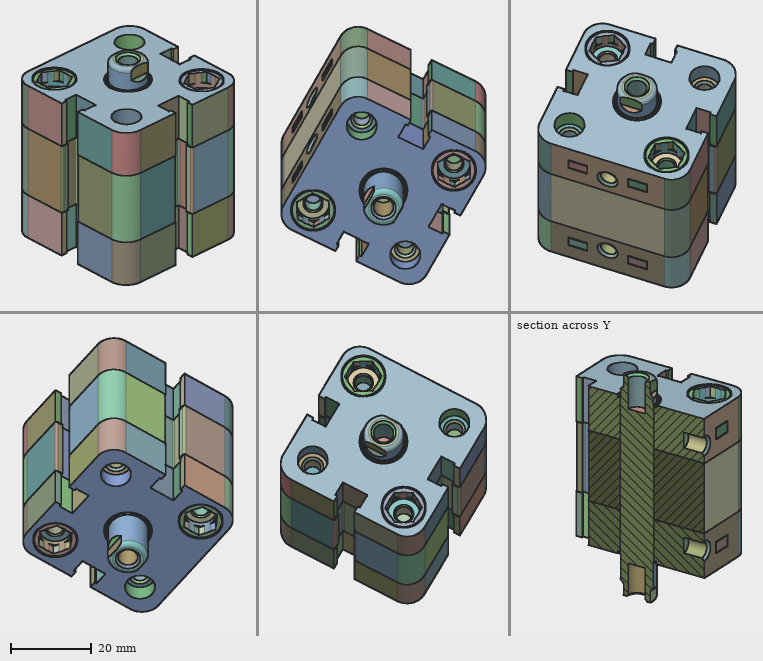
import cadquery as cq

width = 40.3
corner_radius = 5.0
cap_height = 12.4
barrel_height = 19.2
joint_z = barrel_height / 2

rod_diameter = 10.0
rod_length = 61.0
rod_top_reach = 6.0
rod_end_round = 1.2
flat_spacing = 8.2
flat_length = 3.35
rod_thread_diameter = 4.95
rod_thread_mouth = 6.2
rod_thread_depth = 9.15

wiper_groove_mouth = 12.0
wiper_groove_diameter = 11.4
wiper_groove_depth = 0.75
wiper_lip_top = 10.5
wiper_lip_base = 10.9
wiper_lip_sink = 0.2

slot_depth = 5.6
slot_width = 7.0
cap_neck_width = 5.8
cap_lip_depth = 1.75
barrel_neck_width = 5.35
barrel_lip_depth = 2.0
barrel_neck_round = 0.6
barrel_slot_round = 0.35
slot_angles = (-90, 0, 90)

corner_offset = 13.0
corner_hole_diameter = 7.5
corner_hole_depth = 4.5
corner_thread_mouth = 5.35
screw_head_diameter = 11.1
screw_head_top = 10.5
screw_head_bevel = 0.3
screw_head_sink = 0.2
socket_flats = 7.9
socket_round_diameter = 8.1
socket_hex_depth = 3.2
socket_round_depth = 4.5
screw_thread_mouth = 4.95
thread_diameter = 4.15
thread_depth = 4.9

port_from_face = 7.5
port_mouth = 5.5
port_depth = 6.1
label_width = 5.05
label_height = 3.05
label_offset = 8.0
label_from_face = 6.3
label_depth = 0.2


def rounded_block(height):
    """Square block on the XY plane with rounded vertical edges."""
    block = cq.Workplane("XY").rect(width, width).extrude(height)
    return block.edges("|Z").fillet(corner_radius)


def slot_profile(neck, lip, cavity):
    """T-shaped slot outline entering from the +X side."""
    face = width / 2
    points = [
        (face, neck / 2),
        (face - lip, neck / 2),
        (face - lip, cavity / 2),
        (face - slot_depth, cavity / 2),
    ]
    mirrored = [(x, -y) for x, y in reversed(points)]
    return cq.Workplane("XY").polyline(points + mirrored).close()


def cone_frustum(top, bottom, depth):
    """Conical disc from diameter top at z = 0 down to diameter bottom."""
    return cq.Workplane("XY").circle(top / 2).workplane(offset=-depth).circle(bottom / 2).loft()


def threaded_hole(mouth, bore, depth):
    """Blind hole cutter with a 45-degree countersink, mouth at z = 0, going down."""
    countersink = cone_frustum(mouth, bore, (mouth - bore) / 2)
    return cq.Workplane("XY").circle(bore / 2).extrude(-depth).union(countersink)


def plain_corner_hole():
    """Cutter for a counterbored threaded corner hole."""
    bore = cq.Workplane("XY").circle(corner_hole_diameter / 2).extrude(-corner_hole_depth)
    thread = threaded_hole(corner_thread_mouth, thread_diameter, thread_depth)
    return bore.union(thread.translate((0, 0, -corner_hole_depth)))


def screw_head_recess():
    """Cutter for a sunk screw head: bevelled rim, hexagon socket and threaded core."""
    hex_corners = socket_flats / (3 ** 0.5 / 2)
    head = cone_frustum(screw_head_top, screw_head_diameter, screw_head_bevel)
    rim_depth = screw_head_sink + screw_head_bevel
    seat = cq.Workplane("XY").circle(screw_head_diameter / 2).extrude(-rim_depth)
    rim = seat.cut(head.translate((0, 0, -screw_head_sink)))
    hexagon = cq.Workplane("XY").polygon(6, hex_corners).extrude(-socket_hex_depth)
    relief = cq.Workplane("XY").circle(socket_round_diameter / 2).extrude(-socket_round_depth)
    thread = threaded_hole(screw_thread_mouth, thread_diameter, thread_depth)
    return rim.union(hexagon).union(relief).union(thread.translate((0, 0, -socket_round_depth)))


def rod_passage():
    """Cutter for the rod bore and the groove around its wiper lip, outer face at z = 0."""
    chamfer_depth = (wiper_groove_mouth - wiper_groove_diameter) / 2
    mouth = cone_frustum(wiper_groove_mouth, wiper_groove_diameter, chamfer_depth)
    recess = cq.Workplane("XY").circle(wiper_groove_diameter / 2).extrude(-wiper_groove_depth)
    lip = cone_frustum(wiper_lip_top, wiper_lip_base, wiper_groove_depth - wiper_lip_sink)
    bore = cq.Workplane("XY").circle(rod_diameter / 2).extrude(-cap_height)
    return mouth.union(recess).cut(lip.translate((0, 0, -wiper_lip_sink))).union(bore)


def end_cap():
    """End cap with its joint face at z = 0 and its outer face up."""
    cap = rounded_block(cap_height)

    for angle in slot_angles:
        slot = slot_profile(cap_neck_width, cap_lip_depth, slot_width).extrude(cap_height)
        cap = cap.cut(slot.rotate((0, 0, 0), (0, 0, 1), angle))

    cap = cap.cut(rod_passage().translate((0, 0, cap_height)))
    for side in (-1, 1):
        x = side * corner_offset
        cap = cap.cut(screw_head_recess().translate((x, x, cap_height)))
        cap = cap.cut(plain_corner_hole().translate((x, -x, cap_height)))

    port = threaded_hole(port_mouth, thread_diameter, port_depth)
    port = port.rotate((0, 0, 0), (0, 1, 0), -90)
    cap = cap.cut(port.translate((-width / 2, 0, cap_height - port_from_face)))

    label = cq.Workplane("XY").box(label_depth, label_width, label_height, centered=(False, True, True))
    for side in (-1, 1):
        cap = cap.cut(label.translate((-width / 2, side * label_offset, cap_height - label_from_face)))
    return cap


def barrel_slot():
    """Barrel slot cutter on the +X side, with rounded cavity corners and mouth."""
    cavity_depth = slot_depth - barrel_lip_depth
    cavity_x = width / 2 - barrel_lip_depth - cavity_depth / 2
    neck_x = width / 2 - slot_depth / 2
    cavity = cq.Workplane("XY").center(cavity_x, 0).rect(cavity_depth, slot_width).extrude(barrel_height)
    cavity = cavity.edges("|Z").fillet(barrel_slot_round)
    neck = cq.Workplane("XY").center(neck_x, 0).rect(slot_depth, barrel_neck_width).extrude(barrel_height)

    half_neck = barrel_neck_width / 2
    half_mouth = half_neck + barrel_neck_round
    face = width / 2
    bend = barrel_neck_round * (1 - 0.5 ** 0.5)
    mouth = (
        cq.Workplane("XY")
        .moveTo(face - barrel_neck_round, half_neck)
        .threePointArc((face - bend, half_neck + bend), (face, half_mouth))
        .lineTo(face, -half_mouth)
        .threePointArc((face - bend, -half_neck - bend), (face - barrel_neck_round, -half_neck))
        .close()
        .extrude(barrel_height)
    )
    return cavity.union(neck).union(mouth)


def barrel():
    """Middle section of the housing, standing on z = 0, bored for the rod."""
    body = rounded_block(barrel_height)
    for angle in slot_angles:
        body = body.cut(barrel_slot().rotate((0, 0, 0), (0, 0, 1), angle))
    return body.faces(">Z").workplane().hole(rod_diameter)


def wrench_flat():
    """Cutter for a flat on the +X side of a rod end at z = 0, with a 45-degree run-out."""
    flat_x = flat_spacing / 2
    outer_x = rod_diameter / 2
    profile = [
        (flat_x, 0),
        (flat_x, -flat_length),
        (outer_x, -flat_length - (outer_x - flat_x)),
        (outer_x, 0),
    ]
    return cq.Workplane("XZ").polyline(profile).close().extrude(rod_diameter / 2, both=True)


def rod_end_cutter():
    """Cutter for one rod end at z = 0: two wrench flats and a threaded hole."""
    flat = wrench_flat()
    opposite_flat = flat.mirror("YZ")
    thread = threaded_hole(rod_thread_mouth, rod_thread_diameter, rod_thread_depth)
    return flat.union(opposite_flat).union(thread)


def piston_rod():
    """Through rod with its upper end at z = 0, both ends worked alike."""
    rod = cq.Workplane("XY").circle(rod_diameter / 2).extrude(-rod_length)
    rod = rod.edges().fillet(rod_end_round)
    upper_end = rod_end_cutter()
    lower_end = upper_end.rotate((0, 0, 0), (1, 0, 0), 180).translate((0, 0, -rod_length))
    return rod.cut(upper_end).cut(lower_end)


caps = []
for turn in (0, 180):
    placed_cap = end_cap().translate((0, 0, joint_z)).rotate((0, 0, 0), (1, 0, 0), turn)
    caps.append(placed_cap.val())

middle = barrel().translate((0, 0, -joint_z))
rod = piston_rod().translate((0, 0, joint_z + cap_height + rod_top_reach))

result = cq.Compound.makeCompound([*caps, middle.val(), rod.val()])